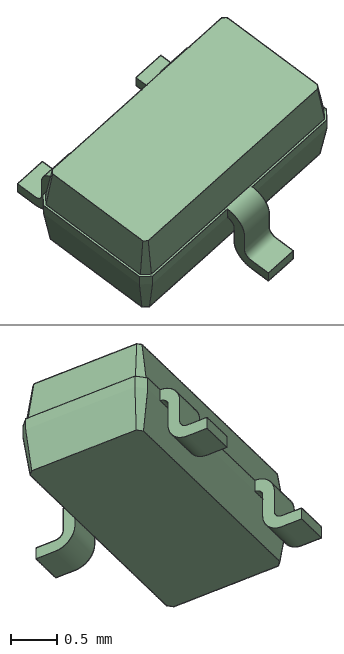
import cadquery as cq
import math


body_x = 1.6
body_y = 3.0
body_bottom = 0.1
body_top = 1.3
corner_chamfer = 0.1
draft_angle = 8.0
top_inset = 0.1

lead_thickness = 0.15
lead_width = 0.4
lead_span = 2.8
lead_pitch = 1.9
inner_radius = 0.1
outer_radius = inner_radius + lead_thickness
lead_embed = 0.2

band_bottom = (body_bottom + body_top - lead_thickness) / 2
band_top = band_bottom + lead_thickness

upper_height = body_top - band_top
ledge = top_inset - upper_height * math.tan(math.radians(draft_angle))


def chamfered_prism(inset, base_z, height, taper=0.0):
    """Extrude the body outline, shrunk by inset, from base_z; negative height goes down."""
    corner_leg = corner_chamfer - inset * (2 - math.sqrt(2))
    half_x = body_x / 2 - inset
    half_y = body_y / 2 - inset
    short_x = half_x - corner_leg
    short_y = half_y - corner_leg
    outline = [
        (short_x, -half_y),
        (half_x, -short_y),
        (half_x, short_y),
        (short_x, half_y),
        (-short_x, half_y),
        (-half_x, short_y),
        (-half_x, -short_y),
        (-short_x, -half_y),
    ]
    return (
        cq.Workplane("XY")
        .workplane(offset=base_z)
        .polyline(outline)
        .close()
        .extrude(height, taper=taper)
    )


def make_body():
    """Straight middle band with a drafted half above and below it."""
    band = chamfered_prism(0, band_bottom, lead_thickness)
    lower = chamfered_prism(0, band_bottom, body_bottom - band_bottom, draft_angle)
    upper = chamfered_prism(ledge, band_top, upper_height, draft_angle)
    return band.union(lower).union(upper)


def make_lead(center_y):
    """Gull-wing lead on the +X side: out of the band, down, then out along the foot."""
    root_x = body_x / 2
    start_x = root_x - lead_embed
    toe_x = lead_span / 2
    leg_inner_x = root_x + inner_radius
    leg_outer_x = root_x + outer_radius
    foot_x = leg_outer_x + inner_radius
    shoulder_z = band_top - outer_radius
    heel_z = outer_radius

    diagonal = math.sqrt(0.5)
    outer_mid = outer_radius * diagonal
    inner_mid = inner_radius * diagonal

    profile = (
        cq.Workplane("XZ", origin=(0, center_y, 0))
        .moveTo(start_x, band_top)
        .lineTo(root_x, band_top)
        .threePointArc((root_x + outer_mid, shoulder_z + outer_mid), (leg_outer_x, shoulder_z))
        .lineTo(leg_outer_x, heel_z)
        .threePointArc((foot_x - inner_mid, heel_z - inner_mid), (foot_x, lead_thickness))
        .lineTo(toe_x, lead_thickness)
        .lineTo(toe_x, 0)
        .lineTo(foot_x, 0)
        .threePointArc((foot_x - outer_mid, heel_z - outer_mid), (leg_inner_x, heel_z))
        .lineTo(leg_inner_x, shoulder_z)
        .threePointArc((root_x + inner_mid, shoulder_z + inner_mid), (root_x, band_bottom))
        .lineTo(start_x, band_bottom)
        .close()
    )
    return profile.extrude(lead_width / 2, both=True)


result = make_body().union(make_lead(0))
for lead_y in (-lead_pitch / 2, lead_pitch / 2):
    result = result.union(make_lead(lead_y).mirror("YZ"))
result = result.clean()